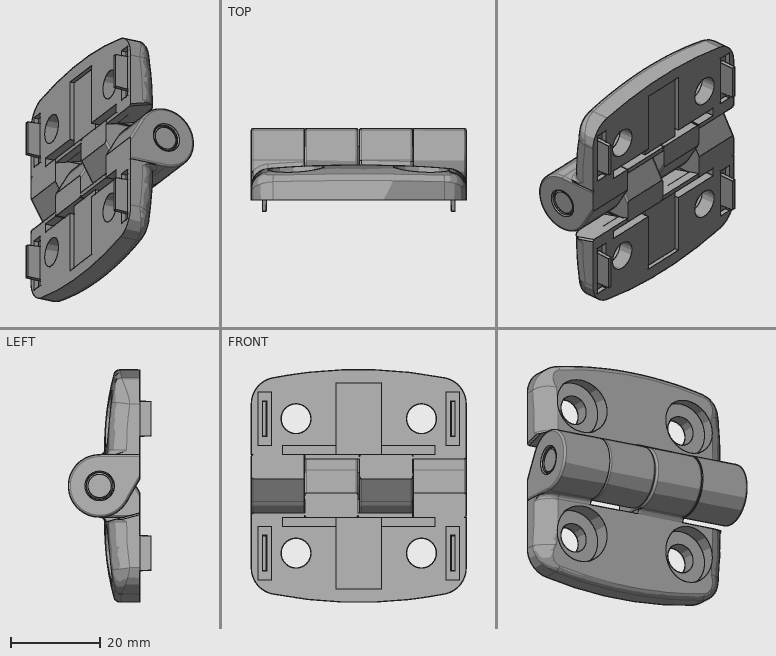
import cadquery as cq
import math


half_width = 24.0
half_height = 26.0
end_arc_radius = 100.0
corner_radius = 6.0
crown_height = 7.9
crown_z = 9.0
crown_radius_z = 62.0
crown_radius_x = 250.0
end_rim_radius = 1.5
side_rim_radius = 4.1

pin_y = 9.0
knuckle_radius = 7.0
outer_knuckle_end = 12.2
inner_knuckle_end = 12.1
middle_gap = 0.3
knuckle_edge_radius = 0.45
underside_lean = math.radians(30)
root_fillet = 1.0

slot_floor_z = 6.0
slot_floor_rise = math.tan(math.radians(15))
slot_chamfer = 0.4

pin_radius = 3.0
pin_recess = 0.4
pin_chamfer = 0.4
bore_chamfer = 0.3

hole_x = 14.0
hole_z = 15.0
hole_diameter = 6.6
counterbore_diameter = 12.6
counterbore_floor_y = 3.5

recess_bottom = 7.0
pocket_width = 10.2
pocket_height = 16.0
pocket_depth = 1.0
groove_length = 34.0
groove_height = 2.0
groove_depth = 3.0

window_x = 21.0
window_width = 3.0
window_length = 12.0
window_depth = 1.2
blade_thickness = 1.0
blade_length = 8.0
blade_height = 2.5
blade_draft = 0.15

margin = 5.0


def box(x_range, y_range, z_range):
    lengths = [high - low for low, high in (x_range, y_range, z_range)]
    corner = (x_range[0], y_range[0], z_range[0])
    return cq.Workplane("XY").box(*lengths, centered=False).translate(corner)


def plate_blank():
    """Plate outline with straight sides, round corners and an arched end, extruded along Y."""
    arc_center_z = half_height - end_arc_radius
    corner_x = half_width - corner_radius
    reach = end_arc_radius - corner_radius
    corner_z = arc_center_z + math.sqrt(reach**2 - corner_x**2)
    joint_angle = math.asin(corner_x / reach)
    joint_x = end_arc_radius * math.sin(joint_angle)
    joint_z = arc_center_z + end_arc_radius * math.cos(joint_angle)
    middle_angle = (math.pi / 2 + joint_angle) / 2
    middle_x = corner_x + corner_radius * math.sin(middle_angle)
    middle_z = corner_z + corner_radius * math.cos(middle_angle)
    return (
        cq.Workplane("XZ")
        .moveTo(-half_width, knuckle_radius)
        .lineTo(half_width, knuckle_radius)
        .lineTo(half_width, corner_z)
        .threePointArc((middle_x, middle_z), (joint_x, joint_z))
        .threePointArc((0, half_height), (-joint_x, joint_z))
        .threePointArc((-middle_x, middle_z), (-half_width, corner_z))
        .close()
        .extrude(-2 * crown_height)
    )


def crown_y(z):
    """Height of the front face above the mounting face, at X = 0."""
    return crown_height - crown_radius_z + math.sqrt(crown_radius_z**2 - (z - crown_z)**2)


def crown():
    """Body of revolution about a line along Z, bounded by the curved front face."""
    axis_y = crown_height - crown_radius_x
    top = half_height + margin
    return (
        cq.Workplane("YZ")
        .moveTo(axis_y, 0)
        .lineTo(crown_y(0), 0)
        .threePointArc((crown_height, crown_z), (crown_y(top), top))
        .lineTo(axis_y, top)
        .close()
        .revolve(360, (axis_y, 0, 0), (axis_y, 1, 0))
    )


def round_front_rim(blank):
    """Round the front rim, wide along the sides, blending round the corners to tight along the end arc."""
    end_arc_middle = (0, crown_y(half_height), half_height)
    end_arc = blank.edges(cq.selectors.NearestToPointSelector(end_arc_middle)).val()
    fillet = cq.occ_impl.shapes.BRepFilletAPI_MakeFillet(blank.val().wrapped)
    fillet.Add(end_arc.wrapped)
    side, end = side_rim_radius, end_rim_radius
    rim_radii = [(side, side), (side, end), (end, end), (end, side), (side, side)]
    for edge_number, (start_radius, end_radius) in enumerate(rim_radii, start=1):
        fillet.SetRadius(start_radius, end_radius, 1, edge_number)
    return cq.Workplane(cq.Shape.cast(fillet.Shape()).Solids()[0])


def plate():
    """Domed plate above the knuckles, with its foot flared out in a concave fillet."""
    rounded = round_front_rim(plate_blank().intersect(crown()))
    slab = box(
        (-half_width - margin, half_width + margin), (-margin, pin_y + margin), (0, knuckle_radius))
    foot_edges = cq.selectors.BoxSelector(
        (-half_width - 1, 0.5, knuckle_radius - 0.1), (half_width + 1, pin_y, knuckle_radius + 0.1))
    flared = rounded.union(slab).edges(foot_edges).fillet(root_fillet)
    return flared.intersect(
        box((-half_width, half_width), (0, pin_y), (knuckle_radius, half_height)))


def below_slot_floor(x_start, x_end):
    """Everything below the sloping slot floor."""
    y_low, y_high = -margin, pin_y + margin
    return (
        cq.Workplane("YZ", origin=(x_start, 0, 0))
        .moveTo(y_low, slot_floor_z + slot_floor_rise * y_low)
        .lineTo(y_high, slot_floor_z + slot_floor_rise * y_high)
        .lineTo(y_high, 0)
        .lineTo(y_low, 0)
        .close()
        .extrude(x_end - x_start)
    )


def cut_slots(body):
    """End the plate on a sloping floor wherever a knuckle of the other leaf turns."""
    floor_meets_foot_y = (knuckle_radius - slot_floor_z) / slot_floor_rise
    for x_range in ((-inner_knuckle_end, middle_gap / 2), (inner_knuckle_end, half_width)):
        lip = box(x_range, (0, floor_meets_foot_y), (slot_floor_z, knuckle_radius))
        body = body.union(lip).cut(below_slot_floor(*x_range))
    outer_corner = cq.selectors.NearestToPointSelector(
        (half_width, 1.0, slot_floor_z + slot_floor_rise))
    return body.edges(outer_corner).chamfer(slot_chamfer)


def knuckle(x_start, x_end, rounded_ends):
    """Barrel with a web to the mounting face, flat on top and leaning underneath."""
    tangent_y = pin_y - knuckle_radius * math.cos(underside_lean)
    tangent_z = -knuckle_radius * math.sin(underside_lean)
    tip_z = tangent_z + tangent_y / math.tan(underside_lean)
    body = (
        cq.Workplane("YZ", origin=(x_start, 0, 0))
        .moveTo(0, tip_z)
        .lineTo(tangent_y, tangent_z)
        .threePointArc((pin_y + knuckle_radius, 0), (pin_y, knuckle_radius))
        .lineTo(0, knuckle_radius)
        .close()
        .extrude(x_end - x_start)
    )
    return body.faces(rounded_ends).edges("not(<Y)").fillet(knuckle_edge_radius)


def cut_bore(body):
    bore = cq.Workplane("YZ", origin=(-half_width, pin_y, 0)).circle(pin_radius).extrude(2 * half_width)
    mouth = cq.Solid.makeCone(
        pin_radius + bore_chamfer, pin_radius, bore_chamfer,
        pnt=cq.Vector(-half_width, pin_y, 0), dir=cq.Vector(1, 0, 0))
    return body.cut(bore).cut(cq.Workplane(mouth))


def cut_screw_holes(body):
    centers = [(-hole_x, hole_z), (hole_x, hole_z)]
    holes = cq.Workplane("XZ").pushPoints(centers).circle(hole_diameter / 2).extrude(-pin_y)
    counterbores = (
        cq.Workplane("XZ", origin=(0, counterbore_floor_y, 0))
        .pushPoints(centers)
        .circle(counterbore_diameter / 2)
        .extrude(-pin_y)
    )
    return body.cut(holes).cut(counterbores)


def cut_back_recesses(body):
    """Shallow central pocket, with a deeper groove running out on each side of it."""
    pocket_half = pocket_width / 2
    groove_end = groove_length / 2
    groove_z = (recess_bottom, recess_bottom + groove_height)
    pocket_z = (recess_bottom, recess_bottom + pocket_height)
    body = body.cut(box((-pocket_half, pocket_half), (0, pocket_depth), pocket_z))
    for x_range in ((-groove_end, -pocket_half), (pocket_half, groove_end)):
        body = body.cut(box(x_range, (0, groove_depth), groove_z))
    return body


def add_blade_in_window(body, side):
    """Cut a window near one side (-1 or 1) and stand a drafted blade on its floor."""
    center_x = side * window_x
    window = (
        cq.Workplane("XZ")
        .center(center_x, hole_z)
        .rect(window_width, window_length)
        .extrude(-window_depth)
    )
    blade = (
        cq.Workplane("XZ", origin=(center_x, window_depth, hole_z))
        .rect(blade_thickness, blade_length)
        .workplane(offset=window_depth + blade_height)
        .center(side * blade_draft / 2, 0)
        .rect(blade_thickness - blade_draft, blade_length - 2 * blade_draft)
        .loft(ruled=True)
    )
    return body.cut(window).union(blade)


def leaf():
    body = cut_slots(plate())
    body = body.union(knuckle(-half_width, -outer_knuckle_end, "<X"))
    body = body.union(knuckle(middle_gap / 2, inner_knuckle_end, "|X"))
    body = cut_bore(body)
    body = cut_screw_holes(body)
    body = cut_back_recesses(body)
    for side in (-1, 1):
        body = add_blade_in_window(body, side)
    return body


def hinge_pin():
    length = 2 * (half_width - pin_recess)
    rod = cq.Workplane("YZ", origin=(-length / 2, pin_y, 0)).circle(pin_radius).extrude(length)
    return rod.faces("|X").edges().chamfer(pin_chamfer)


upper_leaf = leaf()
lower_leaf = upper_leaf.rotate((0, 0, 0), (0, 1, 0), 180)
pin = hinge_pin()

result = cq.Compound.makeCompound([*upper_leaf.solids().vals(), *lower_leaf.solids().vals(), pin.val()])